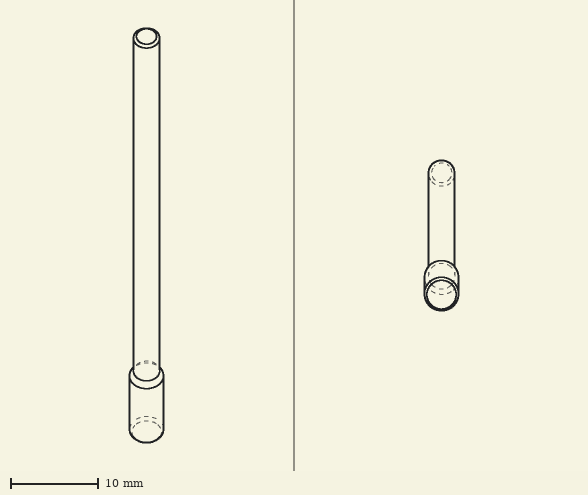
import cadquery as cq

total_length = 70.0
head_diameter = 3.9
shank_diameter = 3.0

head_length = 10.8
taper_height = 0.85
head_chamfer_height = 0.4
head_chamfer_width = 0.3

shank_chamfer_height = 0.3
shank_chamfer_width = 0.35


def make_head():
    """Thick lower body whose upper cone ends at the shank diameter."""
    radius = head_diameter / 2
    profile = (
        cq.Workplane("XZ")
        .lineTo(radius - head_chamfer_width, 0)
        .lineTo(radius, head_chamfer_height)
        .lineTo(radius, head_length - taper_height)
        .lineTo(shank_diameter / 2, head_length)
        .lineTo(0, head_length)
        .close()
    )
    return profile.revolve(360, (0, 0, 0), (0, 1, 0))


def make_shank():
    """Long plain rod standing on the top face of the head."""
    radius = shank_diameter / 2
    shoulder_z = total_length - shank_chamfer_height
    profile = (
        cq.Workplane("XZ")
        .moveTo(0, head_length)
        .lineTo(radius, head_length)
        .lineTo(radius, shoulder_z)
        .lineTo(radius - shank_chamfer_width, total_length)
        .lineTo(0, total_length)
        .close()
    )
    return profile.revolve(360, (0, 0, 0), (0, 1, 0))


head = make_head()
shank = make_shank()

result = cq.Compound.makeCompound([head.val(), shank.val()])